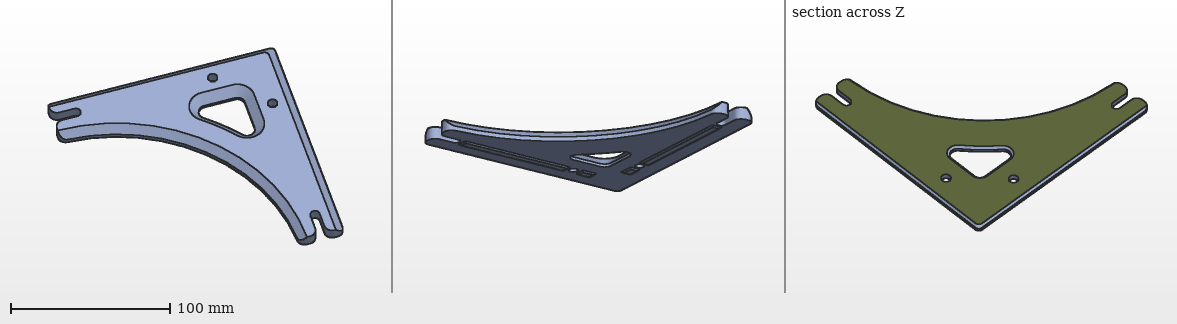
import cadquery as cq
import math

side = 150.0
total_height = 9.0
rib_height = 3 / 3
plate_height = total_height - rib_height
bevel = 6.0
curve_bevel = 15 / 3
corner_radius = 3.0
round_radius = 15 / 3
leg_width = 30.0

axis_inset = 15.0
hole_diameter = 6.0
hole_position = 45.0
slot_width = hole_diameter
slot_depth = 18.0
rib_width = 7.0
rib_clearance = 15 / 3
short_rib_start = 30.0
long_rib_end = 130.0
rib_spans = (
    (short_rib_start, hole_position - rib_clearance),
    (hole_position + rib_clearance, long_rib_end),
)

window_inset = 30.0
window_curve_margin = 24.0

curve_center = (side, -side)
curve_radius = side - leg_width
diagonal_normal = (1, 1, 0)
overshoot = 1.5


def on_both_legs(shape):
    """Add the mirror image of a shape of the X leg, for the Y leg."""
    return shape.union(shape.mirror(diagonal_normal))


def corner_wire(inset, z):
    """Oversized square with a rounded corner, moved in along the diagonal by inset."""
    far = 2 * side
    outline = (
        cq.Workplane("XY", origin=(inset, -inset, z))
        .moveTo(0, -far)
        .lineTo(0, -corner_radius)
        .radiusArc((corner_radius, 0), corner_radius)
        .lineTo(far, 0)
        .lineTo(far, -far)
        .close()
    )
    return outline.val()


def make_bevelled_corner():
    """Block whose two straight sides are bevelled, with the same corner radius all the way up."""
    land = plate_height - bevel
    lower = cq.Solid.makeLoft([corner_wire(0, 0), corner_wire(0, land)], True)
    upper = cq.Solid.makeLoft([corner_wire(0, land), corner_wire(bevel, plate_height)], True)
    return cq.Workplane(lower).union(cq.Workplane(upper))


def make_outline():
    """Bracket outline with slotted, rounded leg ends."""
    slots = on_both_legs(
        cq.Workplane("XY")
        .center(side, -axis_inset)
        .slot2D(2 * slot_depth, slot_width)
        .extrude(plate_height)
    )
    end_edges = cq.selectors.BoxSelector(
        (side - overshoot, -leg_width - overshoot, -overshoot),
        (side + overshoot, overshoot, plate_height + overshoot),
    ) + cq.selectors.BoxSelector(
        (-overshoot, -side - overshoot, -overshoot),
        (leg_width + overshoot, -side + overshoot, plate_height + overshoot),
    )
    return (
        cq.Workplane("XY")
        .rect(side, -side, centered=False)
        .extrude(plate_height)
        .cut(cq.Workplane("XY").center(*curve_center).circle(curve_radius).extrude(plate_height))
        .cut(slots)
        .edges("|Z")
        .edges(end_edges)
        .fillet(round_radius)
    )


def make_curve_bevel():
    """Cone that bevels the top of the concave side."""
    return cq.Workplane(
        cq.Solid.makeCone(
            curve_radius,
            curve_radius + curve_bevel,
            curve_bevel,
            cq.Vector(*curve_center, plate_height - curve_bevel),
        )
    )


def window_wire(offset, z):
    """Window outline, grown outwards by offset, at height z."""
    radius = round_radius + offset
    near = window_inset + round_radius
    center_distance = curve_radius + window_curve_margin + round_radius
    far = side - math.sqrt(center_distance**2 - (side - near) ** 2)
    arc_radius = center_distance - round_radius - offset
    diagonal = radius / math.sqrt(2)
    arc_middle = side - arc_radius / math.sqrt(2)
    to_curve_x = (side - far) / center_distance
    to_curve_y = (near - side) / center_distance
    touch = (far + radius * to_curve_x, -near + radius * to_curve_y)
    half_angle = (math.pi / 2 + math.atan2(to_curve_y, to_curve_x)) / 2
    corner_middle = (far + radius * math.cos(half_angle), -near + radius * math.sin(half_angle))
    outline = (
        cq.Workplane("XY", origin=(0, 0, z))
        .moveTo(near, radius - near)
        .lineTo(far, radius - near)
        .threePointArc(corner_middle, touch)
        .threePointArc((arc_middle, -arc_middle), (-touch[1], -touch[0]))
        .threePointArc((-corner_middle[1], -corner_middle[0]), (near - radius, -far))
        .lineTo(near - radius, -near)
        .threePointArc((near - diagonal, diagonal - near), (near, radius - near))
        .close()
    )
    return outline.val()


def make_window():
    """Window opening with a straight land below a 45 degree bevel."""
    land = plate_height - bevel
    lower = cq.Solid.makeLoft([window_wire(0, 0), window_wire(0, land)], True)
    upper = cq.Solid.makeLoft([window_wire(0, land), window_wire(bevel, plate_height)], True)
    return cq.Workplane(lower).union(cq.Workplane(upper))


def make_holes():
    """One through hole on each leg."""
    hole = (
        cq.Workplane("XY")
        .center(hole_position, -axis_inset)
        .circle(hole_diameter / 2)
        .extrude(plate_height)
    )
    return on_both_legs(hole)


def make_rib(start, end):
    """Locating rib under the X leg, tapered at 45 degrees on all sides."""
    return (
        cq.Workplane("XY")
        .center((start + end) / 2, -axis_inset)
        .rect(end - start, rib_width)
        .extrude(-rib_height, taper=45)
    )


result = make_outline().intersect(make_bevelled_corner())
result = result.cut(make_curve_bevel()).cut(make_window()).cut(make_holes())
for rib_start, rib_end in rib_spans:
    result = result.union(on_both_legs(make_rib(rib_start, rib_end)))